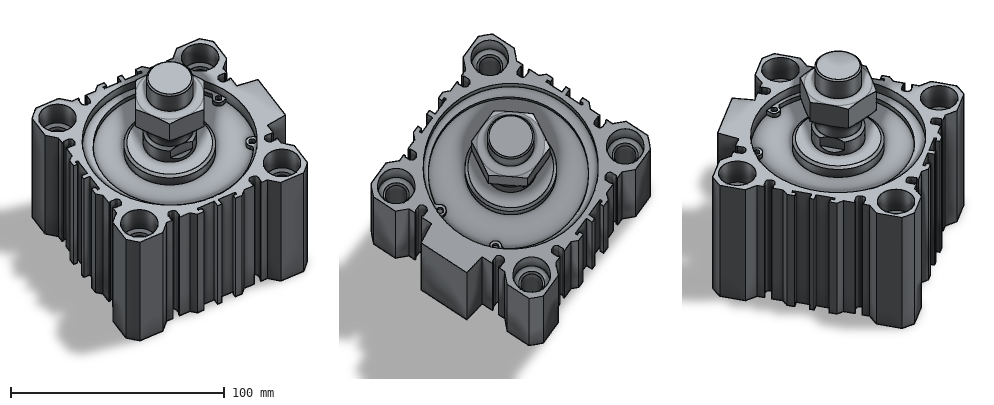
import cadquery as cq
import math


pad_half = 98.0 / 2
body_half = 44.5
housing_height = 68.5
pad_inner_edge = 31.8
wall_start = pad_inner_edge - (pad_half - body_half)
corner_diameter = 131.9

bolt_offset = 38.5
bolt_hole_diameter = 10.1
counterbore_diameter = 17.5
counterbore_depth = 13.0
bolt_chamfer = 1.0

groove_offset = 22.0
groove_width = 4.6
groove_neck_width = 3.5
groove_neck_depth = 0.9
groove_depth = 5.4
groove_corner_radius = 1.8

rail_half = 47.0
rail_face_edge = 12.1
rail_foot = rail_face_edge + rail_half - body_half
rail_mouth = 8.4
rail_slot_edge = 10.2
rail_floor = 43.8
lip_inner_face = 44.9
rib_half_width = 1.1

block_reach = 104.0 - pad_half
block_top_half = 13.0
block_base_half = 14.5

recess_diameter = 82.0
recess_floor = 61.2
ring_thickness = 2.5
ring_inner_diameter = 75.0
ring_eccentricity = 1.9
lug_x = 15.8
lug_y = 35.4
lug_radius = 2.9
lug_hole_diameter = 3.0
lug_blend_radius = 1.7
collar_diameter = 43.0
collar_top = 67.1
collar_chamfer_width = 1.5
collar_chamfer_height = 1.0

rod_diameter = 25.0
thread_diameter = 22.0
rod_tip_diameter = 20.4
rod_top = 112.0
shoulder_z = 74.9
flat_bottom = 70.2
rod_step = (rod_diameter - thread_diameter) / 2
tip_chamfer = (thread_diameter - rod_tip_diameter) / 2

nut_across_flats = 32.0
nut_bottom = 87.8
nut_height = 13.0
nut_chamfer_angle = 15
nut_face_diameter = 31.8


def prism(points, height=housing_height):
    """Upright prism over a closed polygon."""
    return cq.Workplane("XY").polyline(points).close().extrude(height)


def cylinder(diameter, bottom, top):
    """Upright cylinder on the rod axis."""
    return cq.Workplane("XY").workplane(offset=bottom).circle(diameter / 2).extrude(top - bottom)


def turned(profile):
    """Solid turned about the rod axis from (radius, z) points."""
    return cq.Workplane("XZ").polyline(profile).close().revolve(360, (0, 0), (0, 1))


def mirrored(points):
    """Complete an outline by mirroring it about its own Y axis."""
    return points + [(-x, y) for x, y in reversed(points)]


def on_side(shape, side):
    """Turn a feature made on the -Y side by quarter turns about the rod axis."""
    return shape.rotate((0, 0, 0), (0, 0, 1), 90 * side)


def side_recess():
    """Space between two corner pads, cut back to the side wall."""
    return prism(mirrored([(wall_start, -body_half), (pad_inner_edge, -pad_half)]))


def wall_groove(x):
    """Undercut groove with a narrow neck and a rounded bottom."""
    neck = (
        cq.Workplane("XY")
        .center(x, -body_half + groove_neck_depth / 2)
        .rect(groove_neck_width, groove_neck_depth)
        .extrude(housing_height)
    )
    chamber_depth = groove_depth - groove_neck_depth
    chamber = (
        cq.Workplane("XY")
        .center(x, -body_half + groove_neck_depth + chamber_depth / 2)
        .rect(groove_width, chamber_depth)
        .extrude(housing_height)
        .edges("|Z and >Y")
        .fillet(groove_corner_radius)
    )
    return neck.union(chamber)


def sensor_rail():
    """Raised rail with 45 degree flanks, rooted just inside the side wall."""
    return prism(mirrored([
        (rail_foot, -rail_floor),
        (rail_foot, -body_half),
        (rail_face_edge, -rail_half),
    ]))


def rail_slot():
    """Pair of slots beside the central rib, undercut behind the outer lips."""
    half_slot = [
        (rib_half_width, -rail_half),
        (rail_mouth, -rail_half),
        (rail_mouth, -lip_inner_face),
        (rail_slot_edge, -lip_inner_face),
        (rail_slot_edge, -rail_floor),
        (rib_half_width, -rail_floor),
    ]
    slot = prism(half_slot)
    return slot.union(slot.mirror("YZ"))


def bolt_hole_cutter():
    """Through hole with a counterbore and a small chamfer at its seat."""
    seat_z = housing_height - counterbore_depth
    hole_radius = bolt_hole_diameter / 2
    return turned([
        (0, 0),
        (hole_radius, 0),
        (hole_radius, seat_z - bolt_chamfer),
        (hole_radius + bolt_chamfer, seat_z),
        (counterbore_diameter / 2, seat_z),
        (counterbore_diameter / 2, housing_height),
        (0, housing_height),
    ])


def ring_lug():
    """Round lug of the +X ring end, carried out past the recess wall on its gap side."""
    lug_distance = math.hypot(lug_x, lug_y)
    lug_angle = math.degrees(math.atan2(lug_y, lug_x))
    arm_length = recess_diameter / 2 - lug_distance
    lug = cq.Workplane("XY").center(lug_distance, 0).circle(lug_radius).extrude(ring_thickness)
    arm = (
        cq.Workplane("XY")
        .center(lug_distance + arm_length / 2, lug_radius / 2)
        .rect(arm_length, lug_radius)
        .extrude(ring_thickness)
    )
    return lug.union(arm).rotate((0, 0, 0), (0, 0, 1), lug_angle)


def snap_ring():
    """Open eccentric ring with two eyed lugs beside its gap on the +Y side."""
    inner = cylinder(ring_inner_diameter, 0, ring_thickness)
    ring = cylinder(recess_diameter, 0, ring_thickness)
    ring = ring.cut(inner.translate((0, ring_eccentricity, 0)))

    gap_scale = recess_diameter / lug_y
    gap_corner = (lug_x * gap_scale, lug_y * gap_scale)
    ring = ring.cut(prism(mirrored([(0, 0), gap_corner]), ring_thickness))

    lug = ring_lug()
    lugs = lug.union(lug.mirror("YZ"))
    ring = ring.union(lugs.intersect(cylinder(recess_diameter, 0, ring_thickness)))

    for side in (-1, 1):
        blend_point = (side * (lug_x + lug_radius), lug_y, ring_thickness / 2)
        ring = ring.edges(cq.selectors.NearestToPointSelector(blend_point)).fillet(lug_blend_radius)
    eyes = (
        cq.Workplane("XY")
        .pushPoints([(-lug_x, lug_y), (lug_x, lug_y)])
        .circle(lug_hole_diameter / 2)
        .extrude(ring_thickness)
    )
    return ring.cut(eyes).translate((0, 0, recess_floor))


def collar():
    """Rod guide rising from the recess floor, with a chamfered top edge."""
    radius = collar_diameter / 2
    return turned([
        (0, recess_floor),
        (radius, recess_floor),
        (radius, collar_top - collar_chamfer_height),
        (radius - collar_chamfer_width, collar_top),
        (0, collar_top),
    ])


def make_housing():
    """Extruded housing with its fixed snap ring and rod guide collar."""
    body = cq.Workplane("XY").rect(2 * pad_half, 2 * pad_half).extrude(housing_height)
    body = body.intersect(cylinder(corner_diameter, 0, housing_height))
    for side in range(4):
        body = body.cut(on_side(side_recess(), side))

    for side in (0, 1, 3):
        body = body.union(on_side(sensor_rail(), side))
        body = body.cut(on_side(rail_slot(), side))
    block = prism(mirrored([
        (block_base_half, rail_floor),
        (block_base_half, body_half),
        (block_top_half, block_reach),
    ]))
    body = body.union(block)

    for side in range(4):
        for x in (-groove_offset, groove_offset):
            body = body.cut(on_side(wall_groove(x), side))

    for x in (-bolt_offset, bolt_offset):
        for y in (-bolt_offset, bolt_offset):
            body = body.cut(bolt_hole_cutter().translate((x, y, 0)))

    body = body.cut(cylinder(recess_diameter, recess_floor, housing_height))
    body = body.union(snap_ring()).union(collar())
    return body.cut(cylinder(rod_diameter, recess_floor, collar_top))


def wrench_flat():
    """Cutter for the +X wrench flat, run out at 45 degrees at its lower end."""
    flat_x = thread_diameter / 2
    outer_x = rod_diameter / 2
    return (
        cq.Workplane("XZ")
        .polyline([
            (flat_x, flat_bottom),
            (outer_x, flat_bottom - rod_step),
            (outer_x, shoulder_z + rod_step),
            (flat_x, shoulder_z + rod_step),
        ])
        .close()
        .extrude(rod_diameter / 2, both=True)
    )


def make_rod():
    """Stepped rod standing in the housing, with two wrench flats."""
    rod = turned([
        (0, recess_floor),
        (rod_diameter / 2, recess_floor),
        (rod_diameter / 2, shoulder_z),
        (thread_diameter / 2, shoulder_z + rod_step),
        (thread_diameter / 2, rod_top - tip_chamfer),
        (rod_tip_diameter / 2, rod_top),
        (0, rod_top),
    ])
    flat = wrench_flat()
    return rod.cut(flat).cut(flat.mirror("YZ"))


def make_nut():
    """Hexagon nut with corners on the Y axis, chamfered at both ends."""
    corner_radius = nut_across_flats / math.sqrt(3)
    face_radius = nut_face_diameter / 2
    nut_top = nut_bottom + nut_height
    drop = (corner_radius - face_radius) * math.tan(math.radians(nut_chamfer_angle))
    hexagon = (
        cq.Workplane("XY")
        .workplane(offset=nut_bottom)
        .polygon(6, 2 * corner_radius)
        .extrude(nut_height)
        .rotate((0, 0, 0), (0, 0, 1), 30)
    )
    envelope = turned([
        (0, nut_bottom),
        (face_radius, nut_bottom),
        (corner_radius, nut_bottom + drop),
        (corner_radius, nut_top - drop),
        (face_radius, nut_top),
        (0, nut_top),
    ])
    bore = cylinder(thread_diameter, nut_bottom, nut_top)
    return hexagon.intersect(envelope).cut(bore)


housing = make_housing()
rod = make_rod()
nut = make_nut()

result = cq.Compound.makeCompound([
    housing.solids().val(),
    rod.solids().val(),
    nut.solids().val(),
])